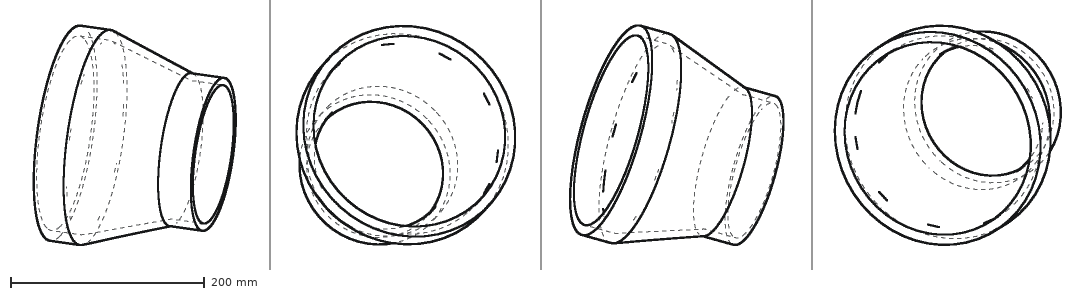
import cadquery as cq

total_length = 160.0
wide_length = 32.5
narrow_length = 35.3

wide_outer_diameter = 225.0
wide_bore_diameter = 203.5
narrow_outer_diameter = 160.0
narrow_bore_diameter = 144.7

taper_end = total_length - narrow_length


def reducer_solid(wide_diameter, narrow_diameter):
    """Cylinder, cone and smaller cylinder in line, revolved about the X axis."""
    wide_radius = wide_diameter / 2
    narrow_radius = narrow_diameter / 2
    profile = (
        cq.Workplane("XY")
        .lineTo(0, wide_radius)
        .lineTo(wide_length, wide_radius)
        .lineTo(taper_end, narrow_radius)
        .lineTo(total_length, narrow_radius)
        .lineTo(total_length, 0)
        .close()
    )
    return profile.revolve(360, (0, 0, 0), (1, 0, 0))


outer_body = reducer_solid(wide_outer_diameter, narrow_outer_diameter)
bore = reducer_solid(wide_bore_diameter, narrow_bore_diameter)
result = outer_body.cut(bore)